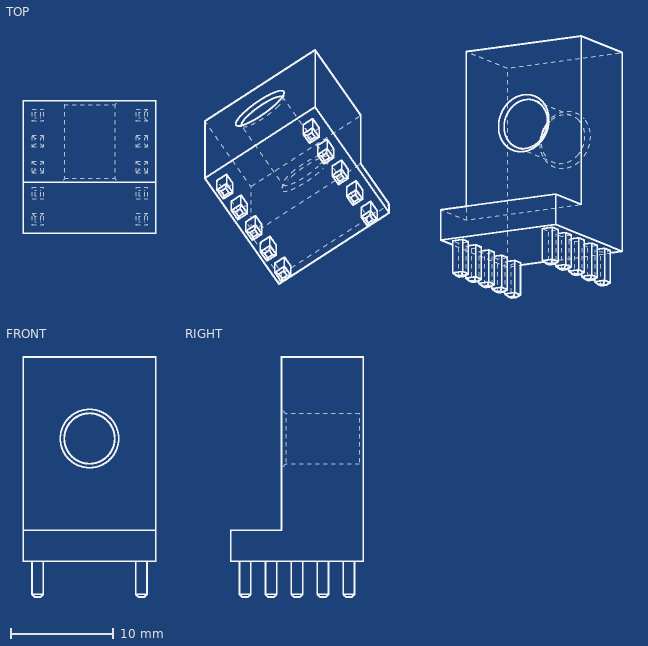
import cadquery as cq

body_width = 13.0
body_depth = 13.0
total_height = 23.5
pin_length = 3.5
body_height = total_height - pin_length
upright_depth = 8.01
step_height = 3.05

hole_diameter = 4.9
hole_height = 12.0
hole_chamfer = 0.4

pins_per_row = 5
pin_pitch = 2.54
row_length = (pins_per_row - 1) * pin_pitch
row_spacing = row_length
pin_side = 1.13
tip_chamfer = 0.28


def make_body():
    """L-shaped profile in the YZ plane, centred on X and Y, standing on Z = 0."""
    front = -body_depth / 2
    back = body_depth / 2
    upright_front = back - upright_depth
    profile = [
        (front, 0),
        (back, 0),
        (back, body_height),
        (upright_front, body_height),
        (upright_front, step_height),
        (front, step_height),
    ]
    body = cq.Workplane("YZ").polyline(profile).close().extrude(body_width / 2, both=True)

    hole = (
        cq.Workplane("XZ", origin=(0, back, hole_height))
        .circle(hole_diameter / 2)
        .extrude(upright_depth)
    )
    body = body.cut(hole)
    mouths = body.edges("%CIRCLE")
    return mouths.chamfer(hole_chamfer)


def make_pin(x, y):
    """Square pin hanging below the body, with a truncated pyramid tip."""
    shank = (
        cq.Workplane("XY", origin=(x, y, 0))
        .rect(pin_side, pin_side)
        .extrude(-pin_length)
    )
    return shank.faces("<Z").chamfer(tip_chamfer)


result = make_body()
for x in (-row_spacing / 2, row_spacing / 2):
    for index in range(pins_per_row):
        y = index * pin_pitch - row_length / 2
        result = result.union(make_pin(x, y))